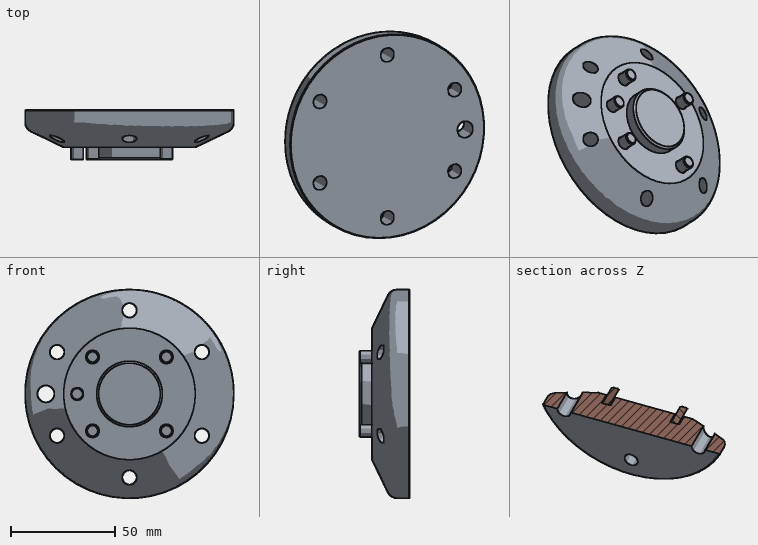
import cadquery as cq
import math

FLANGE_RADIUS = 50.0
FLANGE_THICKNESS = 18.0
RIM_HEIGHT = 9.1
RIM_ROUND = 5.0
BACK_CHAMFER = 0.4
FACE_RADIUS = 31.5

BOSS_DIAMETER = 31.5
PROTRUSION = 6.0
BOSS_CHAMFER = 1.0

BOLT_CIRCLE_RADIUS = 40.0
BOLT_HOLE_DIAMETER = 6.8
BOLT_HOLE_ANGLES = (30, 90, 150, 210, 270, 330)
LOCATING_HOLE_DIAMETER = 8.0
LOCATING_HOLE_ANGLE = 180

PIN_CIRCLE_RADIUS = 25.0
PIN_DIAMETER = 6.0
CORNER_PIN_CHAMFER = 0.5
CORNER_HOLE_DIAMETER = 6.4
CORNER_HOLE_DEPTH = 6.0
CORNER_PIN_ANGLES = (45, 135, 225, 315)
SIDE_PIN_CHAMFER = 0.4
SIDE_PIN_ANGLE = 180


def polar_point(radius, angle):
    """X and Z of a point at an angle (degrees from +X towards +Z) around the axis."""
    return radius * math.cos(math.radians(angle)), radius * math.sin(math.radians(angle))


def cylinder_forward(diameter, radius, angle, start, length):
    """Cylinder that starts `start` in front of the back face and runs towards -Y."""
    plane = cq.Workplane("XZ").workplane(offset=start)
    return plane.center(*polar_point(radius, angle)).circle(diameter / 2).extrude(length)


def through_hole(diameter, angle):
    """Cutter for a hole on the bolt circle through the whole flange."""
    return cylinder_forward(diameter, BOLT_CIRCLE_RADIUS, angle, 0, FLANGE_THICKNESS)


def make_flange():
    """Round plate with a conical front, a central boss, through holes and blind pin holes."""
    profile = (
        cq.Workplane("XY")
        .lineTo(FLANGE_RADIUS, 0)
        .lineTo(FLANGE_RADIUS, -RIM_HEIGHT)
        .lineTo(FACE_RADIUS, -FLANGE_THICKNESS)
        .lineTo(0, -FLANGE_THICKNESS)
        .close()
    )
    plate = profile.revolve(360, (0, 0, 0), (0, 1, 0))
    rim_edge = plate.faces("%CYLINDER").edges("%CIRCLE and <Y")
    plate = rim_edge.fillet(RIM_ROUND)
    plate = plate.faces(">Y").edges().chamfer(BACK_CHAMFER)

    boss = cylinder_forward(BOSS_DIAMETER, 0, 0, FLANGE_THICKNESS, PROTRUSION)
    flange = plate.union(boss.faces("<Y").edges().chamfer(BOSS_CHAMFER))

    for angle in BOLT_HOLE_ANGLES:
        flange = flange.cut(through_hole(BOLT_HOLE_DIAMETER, angle))
    flange = flange.cut(through_hole(LOCATING_HOLE_DIAMETER, LOCATING_HOLE_ANGLE))

    for angle in CORNER_PIN_ANGLES:
        flange = flange.cut(
            cylinder_forward(
                CORNER_HOLE_DIAMETER,
                PIN_CIRCLE_RADIUS,
                angle,
                FLANGE_THICKNESS - CORNER_HOLE_DEPTH,
                CORNER_HOLE_DEPTH,
            )
        )
    return flange


def make_pin(angle, chamfer, sunk_depth):
    """Pin chamfered at its free end, with its other end sunk_depth below the front face."""
    start = FLANGE_THICKNESS - sunk_depth
    length = sunk_depth + PROTRUSION
    pin = cylinder_forward(PIN_DIAMETER, PIN_CIRCLE_RADIUS, angle, start, length)
    return pin.faces("<Y").edges().chamfer(chamfer)


flange = make_flange()
corner_pins = [make_pin(angle, CORNER_PIN_CHAMFER, CORNER_HOLE_DEPTH) for angle in CORNER_PIN_ANGLES]
side_pin = make_pin(SIDE_PIN_ANGLE, SIDE_PIN_CHAMFER, 0)

result = cq.Compound.makeCompound(
    [flange.val(), *[pin.val() for pin in corner_pins], side_pin.val()]
)